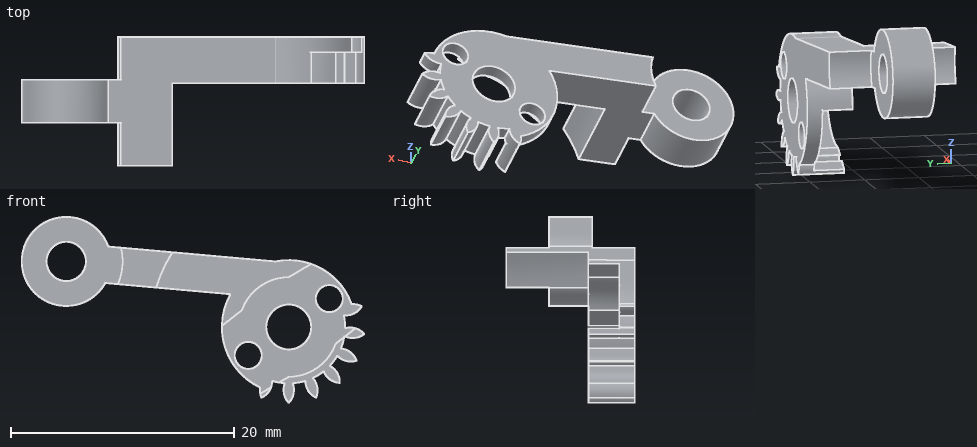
import cadquery as cq
import math


tooth_count_full_circle = 17
tooth_pitch = 360 / tooth_count_full_circle
first_tooth = -1
last_tooth = 5
tip_radius = 6.8
tooth_belly_radius = 5.75
tooth_belly_width = 0.95
tooth_neck_width = 0.76
root_radius = 5.06
tooth_root_overlap = 0.1
disc_radius = 6.0
gear_thickness = 4.17
web_thickness = 1.39
bore_diameter = 4.0

pin_hole_diameter = 2.4
pin_hole_distance = 4.43
pin_hole_angle = 35.0

pocket_radius = 4.46
pocket_upper_start = 90.0
pocket_upper_angle = 30.6
pocket_lower_start = 160.4
pocket_lower_angle = 38.0

ring_x = -19.92
ring_z = 5.87
ring_radius = 4.0
ring_hole_diameter = 3.5
ring_back = 3.82
ring_thickness = 3.88

arm_width = 3.3
arm_slope = 5.1
arm_top_end_x = -1.2
block_length = 11.54
block_ring_radius = 5.05
block_gear_radius = 12.38


def polar(radius, degrees):
    """Point at a distance and angle from the gear axis."""
    angle = math.radians(degrees)
    return (radius * math.cos(angle), radius * math.sin(angle))


def step(start, length, degrees):
    """Point reached by moving from start in a direction."""
    dx, dz = polar(length, degrees)
    return (start[0] + dx, start[1] + dz)


def profile_plane(depth=0.0):
    """XZ plane at a depth in front of the back face; extrusions run towards -Y."""
    return cq.Workplane("XZ", origin=(0, -depth, 0))


def cylinder(x, z, radius, length, depth=0.0):
    return profile_plane(depth).center(x, z).circle(radius).extrude(length)


def make_tooth(position):
    """One pointed tooth with bulging flanks, rooted inside the root circle."""
    inner_radius = root_radius - tooth_root_overlap
    half_neck = tooth_neck_width / 2
    half_belly = tooth_belly_width / 2
    tooth = (
        profile_plane()
        .moveTo(inner_radius, -half_neck)
        .lineTo(root_radius, -half_neck)
        .threePointArc((tooth_belly_radius, -half_belly), (tip_radius, 0))
        .threePointArc((tooth_belly_radius, half_belly), (root_radius, half_neck))
        .lineTo(inner_radius, half_neck)
        .close()
        .extrude(gear_thickness)
    )
    angle = -90 + position * tooth_pitch
    return tooth.rotate((0, 0, 0), (0, 1, 0), -angle)


def make_gear():
    """Root disc, larger plain sector away from the teeth, and the teeth."""
    start = -90 + last_tooth * tooth_pitch
    end = 270 + first_tooth * tooth_pitch
    plain_sector = (
        profile_plane()
        .lineTo(*polar(disc_radius, start))
        .threePointArc(polar(disc_radius, (start + end) / 2), polar(disc_radius, end))
        .close()
        .extrude(gear_thickness)
    )
    gear = cylinder(0, 0, root_radius, gear_thickness).union(plain_sector)
    for position in range(first_tooth, last_tooth + 1):
        gear = gear.union(make_tooth(position))
    return gear


def make_arm_bar(depth):
    """Sloping bar from inside the ring into the disc, with the given depth along -Y."""
    top_end = (arm_top_end_x, math.sqrt(disc_radius**2 - arm_top_end_x**2))
    bar_length = (top_end[0] - ring_x) / math.cos(math.radians(arm_slope))
    top_start = step(top_end, bar_length, 180 - arm_slope)
    across = -90 - arm_slope
    bottom_end = step(top_end, arm_width, across)
    bottom_start = step(top_start, arm_width, across)
    return (
        profile_plane()
        .polyline([top_start, top_end, bottom_end, bottom_start])
        .close()
        .extrude(depth)
    )


def make_arm():
    """Arm as thick as the gear, with the long cross block next to the ring."""
    ring_clearance = cylinder(ring_x, ring_z, block_ring_radius, block_length)
    arm = make_arm_bar(gear_thickness).cut(ring_clearance)
    gear_clearance = cylinder(0, 0, block_gear_radius, block_length)
    block = make_arm_bar(block_length).cut(ring_clearance).cut(gear_clearance)
    return arm.union(block)


def make_ring():
    """Ring and the neck of the same thickness that joins it to the block."""
    slab = cylinder(ring_x, ring_z, block_ring_radius, ring_thickness, ring_back)
    neck = make_arm_bar(block_length).intersect(slab)
    return cylinder(ring_x, ring_z, ring_radius, ring_thickness, ring_back).union(neck)


def make_pocket():
    """Pocket in front of the web, unchanged by half a turn about the gear axis."""
    wall_length = disc_radius
    upper = polar(pocket_radius, pocket_upper_start)
    lower = polar(pocket_radius, pocket_lower_start)
    lower_mirror = (-lower[0], -lower[1])
    upper_mirror = (-upper[0], -upper[1])
    arc_middle = polar(pocket_radius, (pocket_upper_start + pocket_lower_start) / 2)
    return (
        profile_plane(web_thickness)
        .moveTo(*upper)
        .threePointArc(arc_middle, lower)
        .lineTo(*step(lower, wall_length, 180 + pocket_lower_angle))
        .lineTo(*step(upper_mirror, wall_length, 180 + pocket_upper_angle))
        .lineTo(*upper_mirror)
        .threePointArc((-arc_middle[0], -arc_middle[1]), lower_mirror)
        .lineTo(*step(lower_mirror, wall_length, pocket_lower_angle))
        .lineTo(*step(upper, wall_length, pocket_upper_angle))
        .close()
        .extrude(gear_thickness)
    )


def make_holes():
    """Gear bore, two pin holes and the ring hole, all running right through."""
    holes = cylinder(0, 0, bore_diameter / 2, block_length)
    for angle in (pin_hole_angle, pin_hole_angle + 180):
        x, z = polar(pin_hole_distance, angle)
        holes = holes.union(cylinder(x, z, pin_hole_diameter / 2, block_length))
    return holes.union(cylinder(ring_x, ring_z, ring_hole_diameter / 2, block_length))


body = make_gear().union(make_arm()).cut(make_pocket())
result = body.union(make_ring()).cut(make_holes())